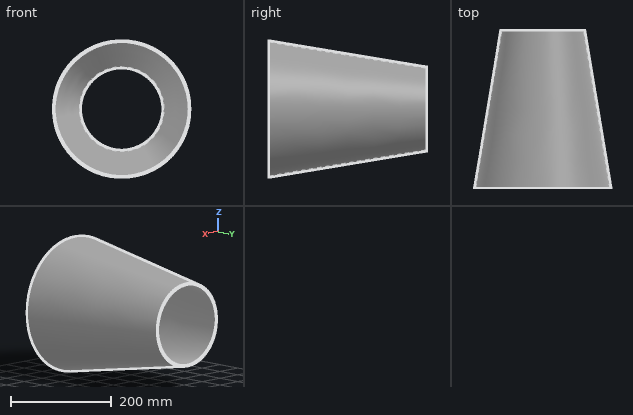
import cadquery as cq

length = 314.0
wide_diameter = 273.0
narrow_diameter = 168.3
wall = 3.0

wide_radius = wide_diameter / 2
narrow_radius = narrow_diameter / 2

wall_section = [
    (wide_radius - wall, 0),
    (wide_radius, 0),
    (narrow_radius, length),
    (narrow_radius - wall, length),
]

result = (
    cq.Workplane("XY")
    .polyline(wall_section)
    .close()
    .revolve(360, (0, 0, 0), (0, 1, 0))
)